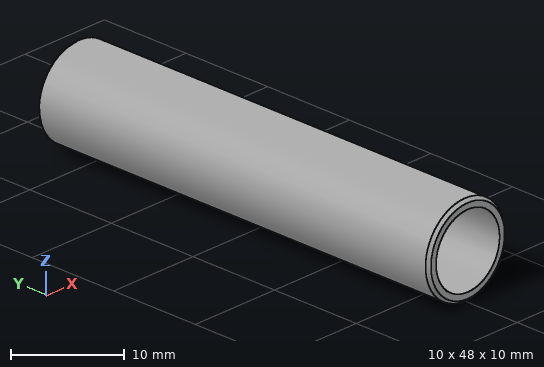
import cadquery as cq

length = 48.0
outer_diameter = 10.0
bore_diameter = 8.0
rim_chamfer = 0.35


def cylinder_along_y(diameter):
    """Full-length cylinder on the Y axis, centred on the origin."""
    back_end = cq.Workplane("XZ", origin=(0, length / 2, 0))
    return back_end.circle(diameter / 2).extrude(length)


rod = cylinder_along_y(outer_diameter).faces("<Y or >Y").chamfer(rim_chamfer)

result = rod.cut(cylinder_along_y(bore_diameter))